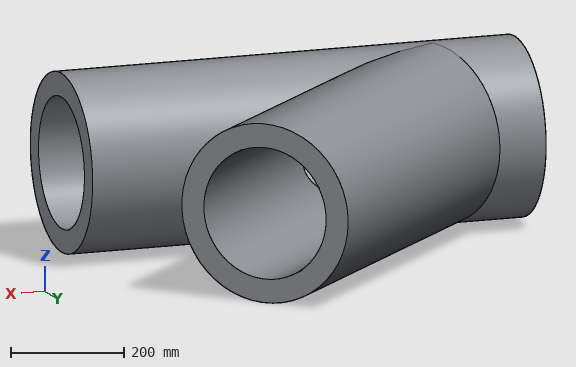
import cadquery as cq

outer_diameter = 324.0
bore_diameter = 238.0
run_length = 851.0
branch_length = 698.0
junction_x = 154.0
branch_angle = 45.0


def run_cylinder(diameter):
    """Straight cylinder along X, starting at X = 0."""
    return cq.Workplane("YZ").circle(diameter / 2).extrude(run_length)


def branch_cylinder(diameter):
    """Cylinder from the junction out to the open end of the branch."""
    return (
        cq.Workplane("YZ")
        .circle(diameter / 2)
        .extrude(branch_length)
        .rotate((0, 0, 0), (0, 0, 1), branch_angle)
        .translate((junction_x, 0, 0))
    )


body = run_cylinder(outer_diameter).union(branch_cylinder(outer_diameter))
result = body.cut(run_cylinder(bore_diameter)).cut(branch_cylinder(bore_diameter))